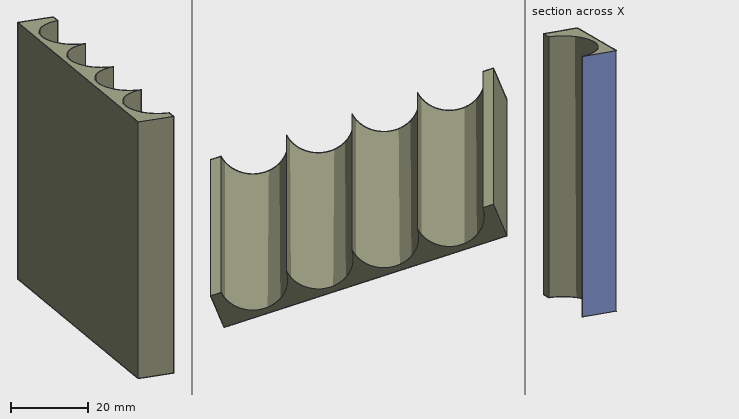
import cadquery as cq

width = 77.77
thickness = 10.0
height = 70.84

groove_count = 4
groove_radius = 9.0
groove_pitch = 2 * groove_radius
floor_thickness = 1.67

groove_center_y = floor_thickness + groove_radius - thickness / 2


def make_plate():
    return cq.Workplane("XY").box(width, thickness, height)


def make_groove(center_x):
    base = cq.Workplane("XY").workplane(offset=-height / 2)
    return base.center(center_x, groove_center_y).circle(groove_radius).extrude(height)


result = make_plate()
for index in range(groove_count):
    groove_x = (index - (groove_count - 1) / 2) * groove_pitch
    result = result.cut(make_groove(groove_x))